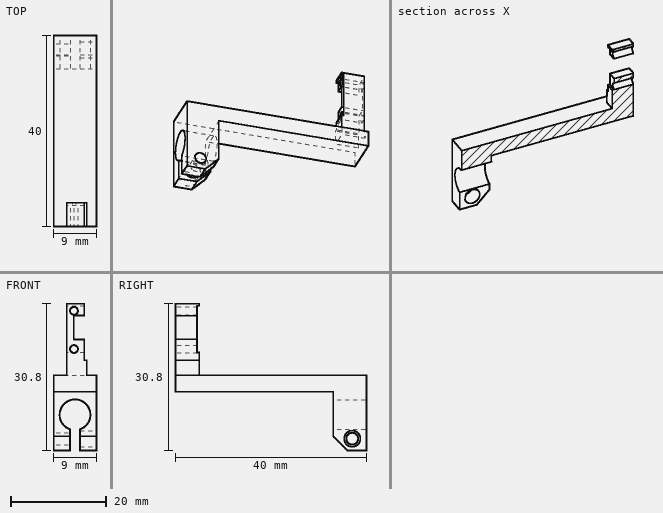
import cadquery as cq

width = 9.0
length = 40.0
height = 30.75
bar_thickness = 3.5
post_height = 15.0
bar_top = height - post_height
bar_bottom = bar_top - bar_thickness

clamp_depth = 7.0
clamp_chamfer = 3.0
clamp_front = length - clamp_depth
bore_diameter = 6.4
bore_height = 7.5
slot_width = 2.0
slot_center_x = 0.0
screw_diameter = 2.45
insert_diameter = 3.4
screw_y = length - 3.0
screw_height = 2.5

post_inset = 2.75
post_left = -width / 2 + post_inset
post_depth = 5.0
post_base_width = 4.2
post_width = 3.7
step_height = 3.15
notch_left = 1.5
notch_top_drop = 2.5
notch_bottom_drop = 7.5
pin_hole_diameter = 1.6
pin_hole_offset = 1.5
pin_hole_drops = (1.5, 9.5)
relief_depth = 0.5
relief_top_drop = 0.5
relief_base_height = 4.75


def make_body():
    """Side profile of the bar and clamp, extruded across the width."""
    return (
        cq.Workplane("YZ", origin=(-width / 2, 0, 0))
        .moveTo(0, bar_top)
        .lineTo(length, bar_top)
        .lineTo(length, 0)
        .lineTo(clamp_front + clamp_chamfer, 0)
        .lineTo(clamp_front, clamp_chamfer)
        .lineTo(clamp_front, bar_bottom)
        .lineTo(0, bar_bottom)
        .close()
        .extrude(width)
    )


def make_clamp_cuts():
    """Bore, the slot that splits it, and the cross hole, which is wider through the +X jaw."""
    bore = (
        cq.Workplane("XZ", origin=(0, length, 0))
        .center(slot_center_x, bore_height)
        .circle(bore_diameter / 2)
        .extrude(clamp_depth)
    )
    slot = cq.Workplane("XY").box(slot_width, clamp_depth, bore_height, centered=(True, False, False))
    slot = slot.translate((slot_center_x, clamp_front, 0))
    screw_hole = (
        cq.Workplane("YZ", origin=(-width / 2, 0, 0))
        .center(screw_y, screw_height)
        .circle(screw_diameter / 2)
        .extrude(width)
    )
    insert_hole = (
        cq.Workplane("YZ", origin=(slot_center_x, 0, 0))
        .center(screw_y, screw_height)
        .circle(insert_diameter / 2)
        .extrude(width / 2 - slot_center_x)
    )
    return bore.union(slot).union(screw_hole).union(insert_hole)


def make_post():
    """Stepped, notched post with two pin holes and a relief across its rear face."""
    step_z = bar_top + step_height
    notch_top = height - notch_top_drop
    notch_bottom = height - notch_bottom_drop
    post = (
        cq.Workplane("XZ")
        .moveTo(post_left, bar_top)
        .lineTo(post_left, height)
        .lineTo(post_left + post_width, height)
        .lineTo(post_left + post_width, notch_top)
        .lineTo(post_left + notch_left, notch_top)
        .lineTo(post_left + notch_left, notch_bottom)
        .lineTo(post_left + post_width, notch_bottom)
        .lineTo(post_left + post_width, step_z)
        .lineTo(post_left + post_base_width, step_z)
        .lineTo(post_left + post_base_width, bar_top)
        .close()
        .extrude(-post_depth)
    )
    pin_holes = (
        cq.Workplane("XZ")
        .pushPoints([(post_left + pin_hole_offset, height - drop) for drop in pin_hole_drops])
        .circle(pin_hole_diameter / 2)
        .extrude(-post_depth)
    )
    relief_height = post_height - relief_top_drop - relief_base_height
    relief = cq.Workplane("XY").box(post_base_width, relief_depth, relief_height, centered=False)
    relief = relief.translate((post_left, post_depth - relief_depth, bar_top + relief_base_height))
    return post.cut(pin_holes).cut(relief)


result = make_body().cut(make_clamp_cuts()).union(make_post())